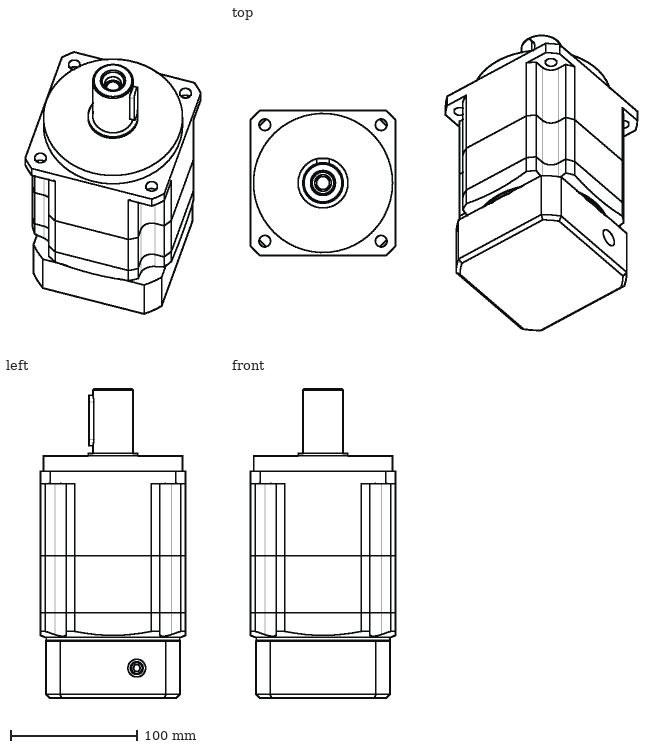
import cadquery as cq
import math

BODY_SIZE = 115.0
TOTAL_LENGTH = 244.5
SHAFT_PROJECTION = 65.0

MOUNT_FACE_Z = TOTAL_LENGTH - SHAFT_PROJECTION
FLANGE_THICKNESS = 10.0
FLANGE_BACK_Z = MOUNT_FACE_Z - FLANGE_THICKNESS
RING_TOP_Z = 112.5
RING_BOTTOM_Z = 67.5
NECK_TOP_Z = 48.0
NECK_BOTTOM_Z = 45.6
SPIGOT_HEIGHT = 0.6
ADAPTER_TOP_Z = NECK_BOTTOM_Z - SPIGOT_HEIGHT

FLANGE_CORNER_RADIUS = 76.0
PILOT_DIAMETER = 110.0
PILOT_HEIGHT = 12.0
BOLT_CIRCLE_DIAMETER = 130.0
BOLT_HOLE_DIAMETER = 9.0
BOLT_OFFSET = BOLT_CIRCLE_DIAMETER / 2 / math.sqrt(2)

BODY_CORNER_RADIUS = 65.0
BOLT_RELIEF_RADIUS = 9.0
BOLT_RELIEF_SIZE = BODY_SIZE - 2 * (BOLT_OFFSET - BOLT_RELIEF_RADIUS)
REAR_CONE_ANGLE = 23.0
REAR_FACE_RADIUS = 53.8

ADAPTER_SIZE = 106.0
NECK_RADIUS = ADAPTER_SIZE / 2
ADAPTER_CORNER_RADIUS = 67.5
ADAPTER_CHAMFER = 3.0

ACCESS_DIAMETER = 14.0
ACCESS_DEPTH = 16.0
ACCESS_Y = -18.8
ACCESS_Z = 23.7
SCREW_HEAD_DIAMETER = 10.0
SCREW_HEAD_HEIGHT = 6.0
SCREW_HEAD_CHAMFER = 0.7
HEX_ACROSS_FLATS = 5.0
HEX_DEPTH = 3.0

SHAFT_DIAMETER = 32.0
SHAFT_CHAMFER = 1.0
COLLAR_DIAMETER = 39.5
COLLAR_HEIGHT = 2.0

GUARD_SINK_DIAMETER = 19.8
CENTRE_SINK_DIAMETER = 17.2
CLEARANCE_BORE_DIAMETER = 13.0
CLEARANCE_BORE_DEPTH = 9.5
TAP_BORE_DIAMETER = 10.2
TAP_BORE_DEPTH = 37.5
GUARD_SINK_HALF_ANGLE = 60.0
CENTRE_SINK_HALF_ANGLE = 30.0
DRILL_POINT_HALF_ANGLE = 59.0

KEY_WIDTH = 10.0
KEY_HEIGHT = 8.0
KEY_LENGTH = 40.0
KEY_TOP_Y = 19.0
KEY_END_GAP = 5.0


def prism(size, bottom, top):
    """Square bar centred on the gearbox axis."""
    return cq.Workplane("XY", origin=(0, 0, bottom)).rect(size, size).extrude(top - bottom)


def cylinder(radius, bottom, top):
    """Round bar on the gearbox axis."""
    return cq.Workplane("XY", origin=(0, 0, bottom)).circle(radius).extrude(top - bottom)


def turned_prism(size, corner_radius, bottom, top):
    """Square bar whose corners are turned to a radius about the gearbox axis."""
    return prism(size, bottom, top).intersect(cylinder(corner_radius, bottom, top))


def at_bolts(bottom):
    """Workplane with a point on each of the four bolt axes."""
    pitch = 2 * BOLT_OFFSET
    return cq.Workplane("XY", origin=(0, 0, bottom)).rect(pitch, pitch, forConstruction=True).vertices()


def body_section(bottom, top):
    """Square section with turned corners and a screw-head relief at each corner."""
    reliefs = (
        cq.Workplane("XY", origin=(0, 0, bottom))
        .rect(BODY_SIZE, BODY_SIZE, forConstruction=True)
        .vertices()
        .rect(BOLT_RELIEF_SIZE, BOLT_RELIEF_SIZE)
        .extrude(top - bottom)
        .edges("|Z")
        .fillet(BOLT_RELIEF_RADIUS)
    )
    return turned_prism(BODY_SIZE, BODY_CORNER_RADIUS, bottom, top).cut(reliefs)


def make_front_housing():
    """Mounting flange with its pilot, and the housing section behind it."""
    flange = turned_prism(BODY_SIZE, FLANGE_CORNER_RADIUS, FLANGE_BACK_Z, MOUNT_FACE_Z)
    flange = flange.cut(at_bolts(FLANGE_BACK_Z).circle(BOLT_HOLE_DIAMETER / 2).extrude(FLANGE_THICKNESS))
    pilot = cylinder(PILOT_DIAMETER / 2, MOUNT_FACE_Z, MOUNT_FACE_Z + PILOT_HEIGHT)
    return body_section(RING_TOP_Z, FLANGE_BACK_Z).union(flange).union(pilot)


def make_ring_gear():
    """Middle housing section."""
    return body_section(RING_BOTTOM_Z, RING_TOP_Z)


def make_rear_housing():
    """Last housing section, with a conical rear face and a neck down to the adapter."""
    cone_rise = (BODY_CORNER_RADIUS - REAR_FACE_RADIUS) * math.tan(math.radians(REAR_CONE_ANGLE))
    envelope = (
        cq.Workplane("XZ")
        .moveTo(0, NECK_TOP_Z)
        .lineTo(REAR_FACE_RADIUS, NECK_TOP_Z)
        .lineTo(BODY_CORNER_RADIUS, NECK_TOP_Z + cone_rise)
        .lineTo(BODY_CORNER_RADIUS, RING_BOTTOM_Z)
        .lineTo(0, RING_BOTTOM_Z)
        .close()
        .revolve(360, (0, 0), (0, 1))
    )
    neck = cylinder(NECK_RADIUS, NECK_BOTTOM_Z, NECK_TOP_Z)
    return body_section(NECK_TOP_Z, RING_BOTTOM_Z).intersect(envelope).union(neck)


def make_adapter():
    """Motor adapter with a spigot and a clamp-screw head at the bottom of the access hole."""
    adapter = turned_prism(ADAPTER_SIZE, ADAPTER_CORNER_RADIUS, 0, ADAPTER_TOP_Z)
    adapter = adapter.faces("<Z").edges().chamfer(ADAPTER_CHAMFER)
    adapter = adapter.union(cylinder(NECK_RADIUS, ADAPTER_TOP_Z, NECK_BOTTOM_Z))

    side_x = -ADAPTER_SIZE / 2
    floor_x = side_x + ACCESS_DEPTH
    access = (
        cq.Workplane("YZ", origin=(side_x, ACCESS_Y, ACCESS_Z))
        .circle(ACCESS_DIAMETER / 2)
        .extrude(ACCESS_DEPTH)
    )
    head = (
        cq.Workplane("YZ", origin=(floor_x, ACCESS_Y, ACCESS_Z))
        .circle(SCREW_HEAD_DIAMETER / 2)
        .extrude(-SCREW_HEAD_HEIGHT)
        .faces("<X")
        .chamfer(SCREW_HEAD_CHAMFER)
    )
    socket = (
        cq.Workplane("YZ", origin=(floor_x - SCREW_HEAD_HEIGHT, ACCESS_Y, ACCESS_Z))
        .transformed(rotate=(0, 0, 90))
        .polygon(6, HEX_ACROSS_FLATS, circumscribed=True)
        .extrude(HEX_DEPTH)
    )
    return adapter.cut(access).union(head).cut(socket)


def make_centre_hole():
    """Stepped centre hole in the shaft end, revolved about the shaft axis."""
    guard_radius = GUARD_SINK_DIAMETER / 2
    sink_radius = CENTRE_SINK_DIAMETER / 2
    bore_radius = CLEARANCE_BORE_DIAMETER / 2
    tap_radius = TAP_BORE_DIAMETER / 2
    guard_depth = (guard_radius - sink_radius) / math.tan(math.radians(GUARD_SINK_HALF_ANGLE))
    sink_depth = guard_depth + (sink_radius - bore_radius) / math.tan(math.radians(CENTRE_SINK_HALF_ANGLE))
    point_depth = TAP_BORE_DEPTH + tap_radius / math.tan(math.radians(DRILL_POINT_HALF_ANGLE))
    return (
        cq.Workplane("XZ", origin=(0, 0, TOTAL_LENGTH))
        .lineTo(guard_radius, 0)
        .lineTo(sink_radius, -guard_depth)
        .lineTo(bore_radius, -sink_depth)
        .lineTo(bore_radius, -CLEARANCE_BORE_DEPTH)
        .lineTo(tap_radius, -CLEARANCE_BORE_DEPTH)
        .lineTo(tap_radius, -TAP_BORE_DEPTH)
        .lineTo(0, -point_depth)
        .close()
        .revolve(360, (0, 0), (0, 1))
    )


def make_key():
    """Round-ended parallel key."""
    middle_z = TOTAL_LENGTH - KEY_END_GAP - KEY_LENGTH / 2
    return (
        cq.Workplane("XZ", origin=(0, KEY_TOP_Y, middle_z))
        .slot2D(KEY_LENGTH, KEY_WIDTH, 90)
        .extrude(KEY_HEIGHT)
    )


def make_shaft(fitted_key):
    """Shaft with its collar resting on the pilot, centre hole and keyway."""
    base_z = MOUNT_FACE_Z + PILOT_HEIGHT
    collar = cylinder(COLLAR_DIAMETER / 2, base_z, base_z + COLLAR_HEIGHT)
    shaft = cylinder(SHAFT_DIAMETER / 2, base_z, TOTAL_LENGTH).faces(">Z").chamfer(SHAFT_CHAMFER)
    return shaft.union(collar).cut(make_centre_hole()).cut(fitted_key)


front_housing = make_front_housing()
ring_gear = make_ring_gear()
rear_housing = make_rear_housing()
adapter = make_adapter()
key = make_key()
shaft = make_shaft(key)

result = cq.Compound.makeCompound(
    [
        front_housing.val(),
        ring_gear.val(),
        rear_housing.val(),
        adapter.val(),
        shaft.val(),
        key.val(),
    ]
)